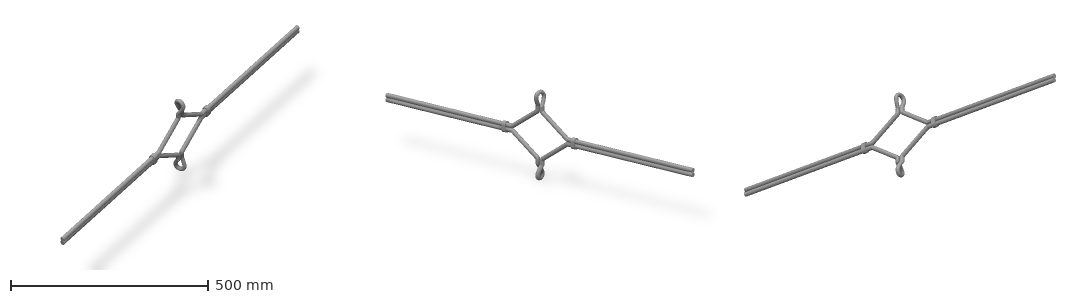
import cadquery as cq
import math


overall_length = 1000.0
overall_height = 240.0
rope_diameter = 12.0
rope_radius = rope_diameter / 2
bend_radius = 7.0
fork_y = 92.0
leg_angle = math.radians(34.6)
neck_offset = 6.5

eye_width = 35.0
flank_angle = math.radians(30)
crown_point_count = 7

eye_thickness = rope_diameter * math.cos(flank_angle)
eye_radius = (eye_width - eye_thickness) / 2
eye_center_z = (overall_height - eye_width) / 2
eye_base_z = eye_center_z - eye_radius / math.sin(flank_angle)

flank_length = eye_radius / math.tan(flank_angle)
half_crown_length = eye_radius * (math.pi / 2 + flank_angle)
crown_offset = neck_offset * half_crown_length / (flank_length + half_crown_length)

ferrule_y = 113.0
ferrule_length = 12.0
ferrule_wall = 3.0


def turned(point):
    """Point turned half a turn about the Z axis."""
    return cq.Vector(-point.x, -point.y, point.z)


def strand_edges():
    """Centreline from the -Y rope end, along the tail and diamond side, to the eye base."""
    cos_leg = math.cos(leg_angle)
    sin_leg = math.sin(leg_angle)

    def fork_point(angle):
        return cq.Vector(
            0,
            -fork_y + bend_radius * math.sin(angle),
            rope_radius + bend_radius * (1 - math.cos(angle)),
        )

    rope_end = cq.Vector(0, -overall_length / 2, rope_radius)
    fork_start = fork_point(0)
    leg_start = fork_point(leg_angle)

    leg_end_y = -neck_offset - bend_radius * (1 - sin_leg)
    leg_end_z = leg_start.z + (leg_end_y - leg_start.y) * math.tan(leg_angle)
    neck_bend_y = -neck_offset - bend_radius
    neck_bend_z = leg_end_z + bend_radius * cos_leg

    def neck_point(angle):
        return cq.Vector(
            0,
            neck_bend_y + bend_radius * math.sin(angle),
            neck_bend_z - bend_radius * math.cos(angle),
        )

    leg_end = neck_point(leg_angle)
    neck_start = neck_point(math.pi / 2)
    return [
        cq.Edge.makeLine(rope_end, fork_start),
        cq.Edge.makeThreePointArc(fork_start, fork_point(leg_angle / 2), leg_start),
        cq.Edge.makeLine(leg_start, leg_end),
        cq.Edge.makeThreePointArc(leg_end, neck_point((leg_angle + math.pi / 2) / 2), neck_start),
        cq.Edge.makeLine(neck_start, cq.Vector(0, -neck_offset, eye_base_z)),
    ]


def make_strand():
    """Round rope from the -Y end up to the eye base."""
    return (
        cq.Workplane("XZ", origin=(0, -overall_length / 2, rope_radius))
        .circle(rope_radius)
        .sweep(cq.Workplane(cq.Wire.assembleEdges(strand_edges())))
    )


def crown_points():
    """Points on the round crown, which climbs evenly in Y from one flank to the other."""
    points = []
    for index in range(crown_point_count):
        fraction = index / (crown_point_count - 1)
        angle = -flank_angle + fraction * (math.pi + 2 * flank_angle)
        points.append(cq.Vector(
            eye_radius * math.cos(angle),
            crown_offset * (2 * fraction - 1),
            eye_center_z + eye_radius * math.sin(angle),
        ))
    return points


def make_eye():
    """Teardrop eye that rises on one side of the Z axis, returns on the other and ends level."""
    eye_corner = cq.Vector(0, -neck_offset, eye_base_z)
    crown = crown_points()
    flank_direction = (crown[0] - eye_corner).normalized()

    path_start = eye_corner - flank_direction * rope_diameter
    path = cq.Edge.makeSpline(
        [path_start, eye_corner, *crown, turned(eye_corner), turned(path_start)],
        tangents=[flank_direction, -turned(flank_direction)],
    )
    across_flank = cq.Vector(0, 1, 0).cross(flank_direction)
    section_plane = cq.Plane(origin=path_start, xDir=across_flank, normal=flank_direction)
    eye = (
        cq.Workplane(section_plane)
        .ellipse(eye_thickness / 2, rope_radius)
        .sweep(cq.Workplane(cq.Wire.assembleEdges([path])))
    )
    keep_box = cq.Workplane(origin=(0, 0, eye_base_z)).box(
        overall_height, overall_height, overall_height, centered=(True, True, False)
    )
    return eye.intersect(keep_box)


def make_rope():
    """Upper rope: two strands joined by the eye into one solid."""
    strand = make_strand()
    far_strand = strand.rotate((0, 0, 0), (0, 0, 1), 180)
    return make_eye().union(strand).union(far_strand)


def make_ferrule(center_y):
    """Oval sleeve that fits closely round both ropes."""
    outer_diameter = rope_diameter + 2 * ferrule_wall
    outer_height = 2 * rope_diameter + 2 * ferrule_wall
    return (
        cq.Workplane("XZ", origin=(0, center_y + ferrule_length / 2, 0))
        .slot2D(outer_height, outer_diameter, 90)
        .slot2D(2 * rope_diameter, rope_diameter, 90)
        .extrude(ferrule_length)
    )


ropes = []
for turn in (0, 180):
    ropes.append(make_rope().rotate((0, 0, 0), (0, 1, 0), turn).solids().val())

ferrules = []
for side in (-1, 1):
    ferrules.append(make_ferrule(side * ferrule_y).val())

result = cq.Compound.makeCompound([*ropes, *ferrules])